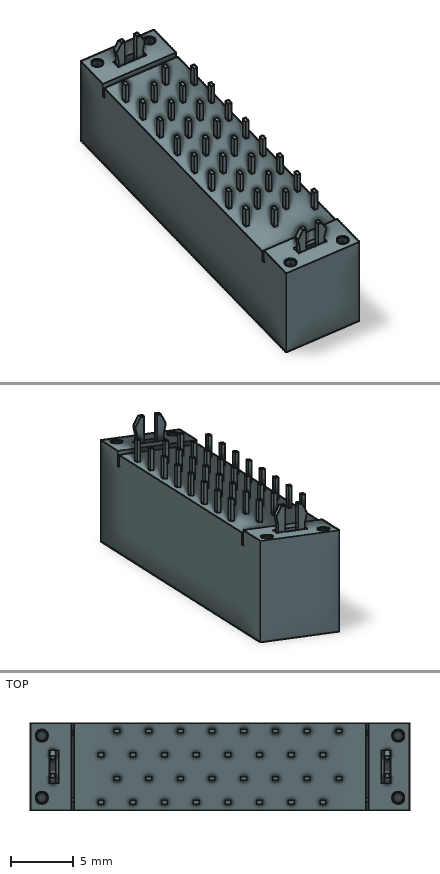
import cadquery as cq

LENGTH = 30.37
WIDTH = 7.0
HEIGHT = 8.5
END_LENGTH = 3.28
CENTRE_DROP = 0.27
CENTRE_TOP = HEIGHT - CENTRE_DROP

GROOVE_WIDTH = 0.25
GROOVE_FLOOR = HEIGHT - 1.28
TROUGH_DEPTH = 0.52
TROUGH_TOP_WIDTH = 5.65
TROUGH_FLOOR_WIDTH = 4.98

PIN_WIDTH = 0.45
PIN_THICKNESS = 0.3
PIN_TOP = HEIGHT + 1.55
PIN_ROOT = 0.3
COLUMN_COUNT = 16
COLUMN_SPAN = 19.05
COLUMN_PITCH = COLUMN_SPAN / (COLUMN_COUNT - 1)
ROW_COUNT = 4
ROW_SPAN = 5.7
ROW_PITCH = ROW_SPAN / (ROW_COUNT - 1)

HOLE_DIAMETER = 0.82
HOLE_DEPTH = 0.9
HOLE_CHAMFER = 0.1
HOLE_X = LENGTH / 2 - 0.9
HOLE_Y = 2.5

LATCH_X = LENGTH / 2 - 1.8
LATCH_THICKNESS = 0.45
LATCH_WIDTH = 2.35
LATCH_HEIGHT = 2.2
LATCH_GAP = 1.15
BARB_WIDTH = 2.67
BARB_BOTTOM = 0.55
BARB_EDGE_BOTTOM = 1.28
BARB_EDGE_TOP = 1.37
TIP_WIDTH = 1.75
TIP_CHAMFER = 0.05
BRIDGE_TOP = -0.9
BRIDGE_FILLET = 0.27

POCKET_DEPTH = 1.2
POCKET_LENGTH = BARB_WIDTH
POCKET_OUTER_X = LENGTH / 2 - 1.5
POCKET_INNER_X = LENGTH / 2 - 2.25
POCKET_LIP_CHAMFER = 0.2

SIDES = (-1, 1)


def box_between(length, width, bottom, top, x=0, y=0):
    """Upright box centred at (x, y) that spans the heights bottom to top."""
    return cq.Workplane("XY", origin=(x, y, bottom)).rect(length, width).extrude(top - bottom)


def make_housing():
    """Block whose middle stretch is slightly lower than its two ends."""
    housing = box_between(LENGTH, WIDTH, 0, HEIGHT)
    centre_length = LENGTH - 2 * END_LENGTH
    return housing.cut(box_between(centre_length, WIDTH, CENTRE_TOP, HEIGHT))


def make_groove(side):
    """Full-width groove whose middle drops into a trough with sloping ends."""
    x = side * (LENGTH / 2 - END_LENGTH - GROOVE_WIDTH / 2)
    groove = box_between(GROOVE_WIDTH, WIDTH, GROOVE_FLOOR, HEIGHT, x)
    trough_floor = GROOVE_FLOOR - TROUGH_DEPTH
    trough = (
        cq.Workplane("YZ", origin=(x, 0, 0))
        .moveTo(-TROUGH_TOP_WIDTH / 2, GROOVE_FLOOR)
        .lineTo(-TROUGH_FLOOR_WIDTH / 2, trough_floor)
        .lineTo(TROUGH_FLOOR_WIDTH / 2, trough_floor)
        .lineTo(TROUGH_TOP_WIDTH / 2, GROOVE_FLOOR)
        .close()
        .extrude(GROOVE_WIDTH / 2, both=True)
    )
    return groove.union(trough)


def make_hole(x, y):
    """Blind hole with a chamfered mouth."""
    mouth = cq.Workplane("XY", origin=(x, y, HEIGHT))
    bore = mouth.circle(HOLE_DIAMETER / 2).extrude(-HOLE_DEPTH)
    chamfer = mouth.circle(HOLE_DIAMETER / 2 + HOLE_CHAMFER).extrude(-HOLE_CHAMFER, taper=45)
    return bore.union(chamfer)


def make_pocket(side):
    """Recess around the foot of a latch."""
    floor = HEIGHT - POCKET_DEPTH
    wall_x = POCKET_INNER_X + POCKET_LIP_CHAMFER
    return (
        cq.Workplane("XZ")
        .moveTo(side * POCKET_OUTER_X, HEIGHT)
        .lineTo(side * POCKET_OUTER_X, floor)
        .lineTo(side * wall_x, floor)
        .lineTo(side * wall_x, HEIGHT - POCKET_LIP_CHAMFER)
        .lineTo(side * POCKET_INNER_X, HEIGHT)
        .close()
        .extrude(POCKET_LENGTH / 2, both=True)
    )


def make_latch(side):
    """U-shaped clip with an outward barb on each prong."""
    half_outline = [
        (LATCH_WIDTH / 2, -POCKET_DEPTH),
        (LATCH_WIDTH / 2, BARB_BOTTOM),
        (BARB_WIDTH / 2, BARB_EDGE_BOTTOM),
        (BARB_WIDTH / 2, BARB_EDGE_TOP),
        (TIP_WIDTH / 2, LATCH_HEIGHT),
        (LATCH_GAP / 2, LATCH_HEIGHT),
        (LATCH_GAP / 2, BRIDGE_TOP),
    ]
    mirrored_half = [(-y, z) for y, z in reversed(half_outline)]
    latch = (
        cq.Workplane("YZ", origin=(side * LATCH_X, 0, HEIGHT))
        .polyline(half_outline + mirrored_half)
        .close()
        .extrude(LATCH_THICKNESS / 2, both=True)
    )
    bridge_centre = (side * LATCH_X, 0, HEIGHT + BRIDGE_TOP)
    bridge = latch.faces(cq.selectors.NearestToPointSelector(bridge_centre))
    latch = bridge.edges("|X").fillet(BRIDGE_FILLET)
    return latch.faces(">Z").edges("|Y").chamfer(TIP_CHAMFER)


def pin_positions():
    """Centres of all pins, with the pin field centred on the housing."""
    return [
        (column * COLUMN_PITCH - COLUMN_SPAN / 2, row * ROW_PITCH - ROW_SPAN / 2)
        for row in range(ROW_COUNT)
        for column in range(row % 2, COLUMN_COUNT, 2)
    ]


def make_pins():
    """All pins, rooted a little below the surface of the housing."""
    return (
        cq.Workplane("XY", origin=(0, 0, CENTRE_TOP - PIN_ROOT))
        .pushPoints(pin_positions())
        .rect(PIN_WIDTH, PIN_THICKNESS)
        .extrude(PIN_TOP - CENTRE_TOP + PIN_ROOT)
    )


result = make_housing().union(make_pins())
for side in SIDES:
    result = result.cut(make_groove(side))
    result = result.cut(make_pocket(side)).union(make_latch(side))
    for y in (-HOLE_Y, HOLE_Y):
        result = result.cut(make_hole(side * HOLE_X, y))